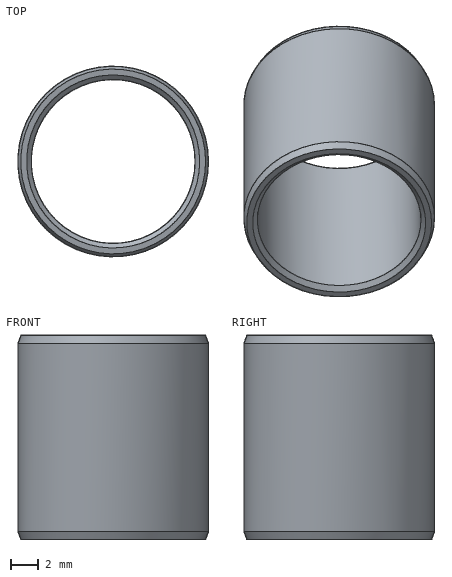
import cadquery as cq
import math

length = 15.0
outer_diameter = 14.0
bore_diameter = 12.0

outer_chamfer_length = 0.6
outer_chamfer_angle = 20.0

bore_chamfer_width = 0.35
bore_chamfer_depth = 0.35

outer_radius = outer_diameter / 2
bore_radius = bore_diameter / 2
half_length = length / 2
outer_chamfer_width = outer_chamfer_length * math.tan(math.radians(outer_chamfer_angle))

wall_section = (
    cq.Workplane("XZ")
    .moveTo(bore_radius, -half_length + bore_chamfer_depth)
    .lineTo(bore_radius + bore_chamfer_width, -half_length)
    .lineTo(outer_radius - outer_chamfer_width, -half_length)
    .lineTo(outer_radius, -half_length + outer_chamfer_length)
    .lineTo(outer_radius, half_length - outer_chamfer_length)
    .lineTo(outer_radius - outer_chamfer_width, half_length)
    .lineTo(bore_radius + bore_chamfer_width, half_length)
    .lineTo(bore_radius, half_length - bore_chamfer_depth)
    .close()
)

result = wall_section.revolve(360, (0, 0, 0), (0, 1, 0))